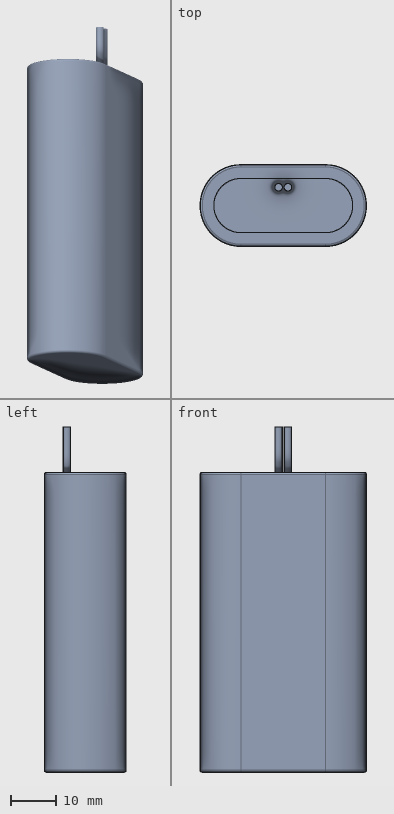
import cadquery as cq

total_height = 76.0
housing_length = 36.6
housing_width = 18.0
edge_radius = 0.5

rim_width = 3.05
cover_thickness = 2.0
cover_length = housing_length - 2 * rim_width
cover_width = housing_width - 2 * rim_width

lead_diameter = 1.7
lead_length = 10.0
lead_spacing = 2.05
lead_offset_y = 4.0

housing_height = total_height - lead_length


def make_cover():
    """Round-ended plate that fills the recess in the housing top."""
    return (
        cq.Workplane("XY", origin=(0, 0, housing_height - cover_thickness))
        .slot2D(cover_length, cover_width)
        .extrude(cover_thickness)
    )


def make_housing(cover):
    """Round-ended block with rounded end edges and a recess for the cover."""
    block = cq.Workplane("XY").slot2D(housing_length, housing_width).extrude(housing_height)
    rounded_block = block.faces("<Z or >Z").edges().fillet(edge_radius)
    return rounded_block.cut(cover)


def make_lead(x):
    """Plain round lead standing on the cover."""
    return (
        cq.Workplane("XY", origin=(x, lead_offset_y, housing_height))
        .circle(lead_diameter / 2)
        .extrude(lead_length)
    )


cover = make_cover()
housing = make_housing(cover)
leads = [make_lead(side * lead_spacing / 2) for side in (-1, 1)]

result = cq.Compound.makeCompound(
    [housing.val(), cover.val(), *[lead.val() for lead in leads]]
)